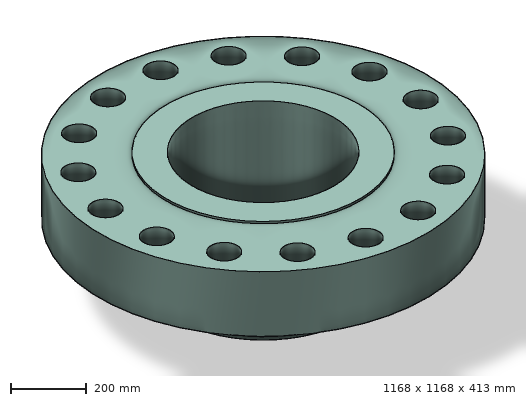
import cadquery as cq

flange_diameter = 1168.0
flange_thickness = 201.0
raised_face_diameter = 692.0
raised_face_height = 7.0

hub_height = 205.0
hub_base_radius = 382.0
hub_end_radius = 305.0
hub_fillet = 26.0
bore_diameter = 505.0

hub_taper_end_height = 28.0
weld_shoulder_outer_height = 18.0
weld_shoulder_inner_height = 14.0
weld_bevel_outer_radius = 271.0
weld_root_radius = 256.0

bolt_count = 16
bolt_circle_diameter = 991.0
bolt_hole_diameter = 92.0

flange_radius = flange_diameter / 2
raised_face_radius = raised_face_diameter / 2
bore_radius = bore_diameter / 2
flange_top = hub_height + flange_thickness
total_height = flange_top + raised_face_height


def revolved_body():
    """Revolve the half section, given as (radius, height), about Z."""
    section = [
        (bore_radius, 0),
        (weld_root_radius, 0),
        (weld_bevel_outer_radius, weld_shoulder_inner_height),
        (hub_end_radius, weld_shoulder_outer_height),
        (hub_end_radius, hub_taper_end_height),
        (hub_base_radius, hub_height),
        (flange_radius, hub_height),
        (flange_radius, flange_top),
        (raised_face_radius, flange_top),
        (raised_face_radius, total_height),
        (bore_radius, total_height),
    ]
    return cq.Workplane("XZ").polyline(section).close().revolve(360, (0, 0), (0, 1))


def fillet_hub_base(body):
    """Round the inside corner where the hub meets the underside of the ring."""
    margin = hub_fillet / 2
    reach = hub_base_radius + margin
    corner_box = cq.selectors.BoxSelector(
        (-reach, -reach, hub_height - margin),
        (reach, reach, hub_height + margin),
        boundingbox=True,
    )
    return body.edges(corner_box).fillet(hub_fillet)


def bolt_holes():
    """Cylinders on the bolt circle, passing through the ring."""
    return (
        cq.Workplane("XY")
        .workplane(offset=hub_height)
        .polarArray(bolt_circle_diameter / 2, 0, 360, bolt_count)
        .circle(bolt_hole_diameter / 2)
        .extrude(flange_thickness)
    )


result = fillet_hub_base(revolved_body()).cut(bolt_holes())